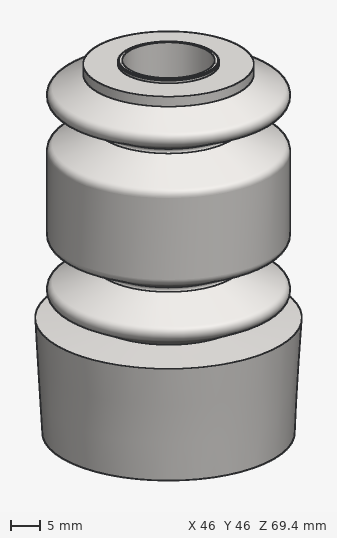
import cadquery as cq
import math

height = 69.4
bore_radius = 16 / 2

base_bottom_radius = 21.8
base_rim_radius = 46.0 / 2
base_rim_z = 21.4
base_neck_radius = 13.25
base_neck_z = 21.8

rib_radius = 42.0 / 2
rib_round = 1.5
flank_angle = math.radians(65)
body_center_z = 44.8
body_half_height = 7.65
neck_offset = 12.9
bead_offset = 18.1
neck_radius = 12.55
neck_edge_radius = 12.7
neck_half_height = 0.4

collar_radius = 29.4 / 2
collar_bottom_z = 66.85
collar_top_z = 68.7
lip_radius = 8.75
lip_chamfer = 0.2

round_height = rib_round * math.sin(flank_angle)
flank_radius = rib_radius - rib_round * (1 - math.cos(flank_angle))
round_mid_height = rib_round * math.sin(flank_angle / 2)
round_mid_radius = rib_radius - rib_round * (1 - math.cos(flank_angle / 2))


def add_bead(outline, z):
    """Rounded crest of a bead centred at height z, drawn upward."""
    outline = outline.lineTo(flank_radius, z - round_height)
    return outline.threePointArc((rib_radius, z), (flank_radius, z + round_height))


def add_neck(outline, z):
    """Narrow hollow groove bottom centred at height z, drawn upward."""
    outline = outline.lineTo(neck_edge_radius, z - neck_half_height)
    return outline.threePointArc((neck_radius, z), (neck_edge_radius, z + neck_half_height))


def add_body(outline):
    """Cylindrical middle rib with a rounded shoulder at each end, drawn upward."""
    bottom_z = body_center_z - body_half_height
    top_z = body_center_z + body_half_height
    outline = outline.lineTo(flank_radius, bottom_z - round_height)
    outline = outline.threePointArc((round_mid_radius, bottom_z - round_mid_height), (rib_radius, bottom_z))
    outline = outline.lineTo(rib_radius, top_z)
    return outline.threePointArc(
        (round_mid_radius, top_z + round_mid_height), (flank_radius, top_z + round_height)
    )


outline = (
    cq.Workplane("XZ")
    .moveTo(bore_radius, 0)
    .lineTo(base_bottom_radius, 0)
    .lineTo(base_rim_radius, base_rim_z)
    .lineTo(base_neck_radius, base_neck_z)
)
outline = add_bead(outline, body_center_z - bead_offset)
outline = add_neck(outline, body_center_z - neck_offset)
outline = add_body(outline)
outline = add_neck(outline, body_center_z + neck_offset)
outline = add_bead(outline, body_center_z + bead_offset)

outline = (
    outline.lineTo(collar_radius, collar_bottom_z)
    .lineTo(collar_radius, collar_top_z)
    .lineTo(lip_radius, collar_top_z)
    .lineTo(lip_radius, height - lip_chamfer)
    .lineTo(lip_radius - lip_chamfer, height)
    .lineTo(bore_radius, height)
    .close()
)

result = outline.revolve(360, (0, 0, 0), (0, 1, 0))